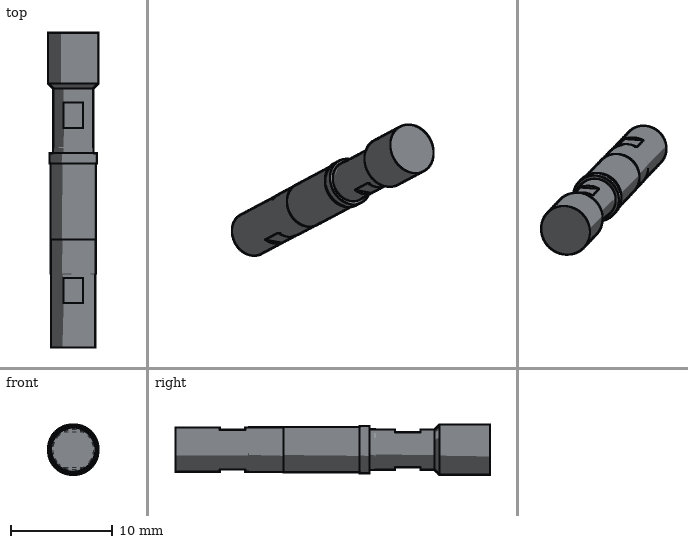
import cadquery as cq
import math

HEAD_DIA = 5.0
NECK_DIA = 4.0
JOINT_DIA = 4.05
RING_DIA = 4.7
SLEEVE_DIA = 4.5
SHANK_DIA = 4.45
TIP_DIA = 4.4

TOTAL_LENGTH = 31.1
TIP_LENGTH = 7.3
SHANK_LENGTH = 3.4
SLEEVE_LENGTH = 7.5
RING_LENGTH = 1.0
JOINT_LENGTH = 0.6
HEAD_LENGTH = 5.0
CONE_LENGTH = (HEAD_DIA - NECK_DIA) / 2
NECK_LENGTH = TOTAL_LENGTH - (
    TIP_LENGTH + SHANK_LENGTH + SLEEVE_LENGTH + RING_LENGTH + JOINT_LENGTH + CONE_LENGTH + HEAD_LENGTH
)

FLAT_WIDTH = 1.95
FLAT_LENGTH = 2.5
TIP_FLAT_START = 4.4
NECK_FLAT_START = 21.7

TAPER_LENGTH = 0.1

CUT_CLEARANCE = 1.0


def turned_body():
    """Solid of revolution about Y, with the tip face at Y = 0."""
    sections = [
        (TIP_DIA, TIP_LENGTH, TAPER_LENGTH),
        (SHANK_DIA, SHANK_LENGTH, 0),
        (SLEEVE_DIA, SLEEVE_LENGTH, 0),
        (RING_DIA, RING_LENGTH, 0),
        (JOINT_DIA, JOINT_LENGTH, TAPER_LENGTH),
        (NECK_DIA, NECK_LENGTH, 0),
    ]
    outline = cq.Workplane("XY").moveTo(0, 0)
    y = 0
    for diameter, length, taper in sections:
        outline = outline.lineTo(diameter / 2, y)
        y += length
        outline = outline.lineTo(diameter / 2, y - taper)
    outline = outline.lineTo(HEAD_DIA / 2, y + CONE_LENGTH)
    outline = outline.lineTo(HEAD_DIA / 2, TOTAL_LENGTH)
    outline = outline.lineTo(0, TOTAL_LENGTH).close()
    return outline.revolve(360, (0, 0, 0), (0, 1, 0))


def flat_cutters(diameter, start):
    """Blocks above and below the axis that leave flats FLAT_WIDTH wide on a cylinder."""
    flat_height = math.sqrt((diameter / 2) ** 2 - (FLAT_WIDTH / 2) ** 2)
    depth = diameter / 2 - flat_height + CUT_CLEARANCE
    upper = cq.Workplane("XY").box(diameter, FLAT_LENGTH, depth)
    upper = upper.translate((0, start + FLAT_LENGTH / 2, flat_height + depth / 2))
    return upper.union(upper.mirror("XY"))


result = turned_body()
result = result.cut(flat_cutters(TIP_DIA, TIP_FLAT_START))
result = result.cut(flat_cutters(NECK_DIA, NECK_FLAT_START))